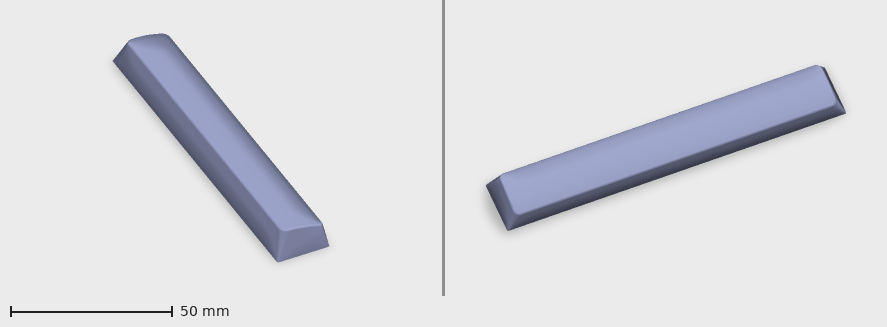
import cadquery as cq
import math

length = 113.4
width = 18.1
bottom_corner_radius = 0.5

top_length = 106.5
end_bow = 0.5
top_front_y = -5.5
top_back_y = 8.6
top_front_z = 9.9
top_back_z = 7.7
top_corner_radius = 2.5

height = 9.0
crown_y = -4.0
dome_radius = 34.0
top_edge_radius = 0.7


def bowed_outline(span, depth):
    """Rectangle whose two ends are shallow outward arcs."""
    half_span = span / 2
    half_depth = depth / 2
    return (
        cq.Sketch()
        .segment((-half_span, -half_depth), (half_span, -half_depth))
        .arc((half_span, -half_depth), (half_span + end_bow, 0), (half_span, half_depth))
        .segment((half_span, half_depth), (-half_span, half_depth))
        .arc((-half_span, half_depth), (-half_span - end_bow, 0), (-half_span, -half_depth))
        .assemble()
    )


def tapered_body():
    """Walls that lean inward from the level bottom to the tilted upper outline."""
    run = top_back_y - top_front_y
    drop = top_front_z - top_back_z
    top_plane = cq.Plane(
        origin=(0, (top_front_y + top_back_y) / 2, (top_front_z + top_back_z) / 2),
        xDir=(1, 0, 0),
        normal=(0, drop, run),
    )
    bottom = cq.Sketch().rect(length, width).vertices().fillet(bottom_corner_radius)
    top = bowed_outline(top_length, math.hypot(run, drop)).vertices().fillet(top_corner_radius)
    return cq.Workplane("XY").placeSketch(bottom, top.moved(top_plane.location)).loft()


def dome():
    """Long cylinder whose upper side is the domed top of the part."""
    return (
        cq.Workplane("YZ")
        .center(crown_y, height - dome_radius)
        .circle(dome_radius)
        .extrude(length, both=True)
    )


body = tapered_body().intersect(dome())
result = body.faces(">Z").edges().fillet(top_edge_radius)